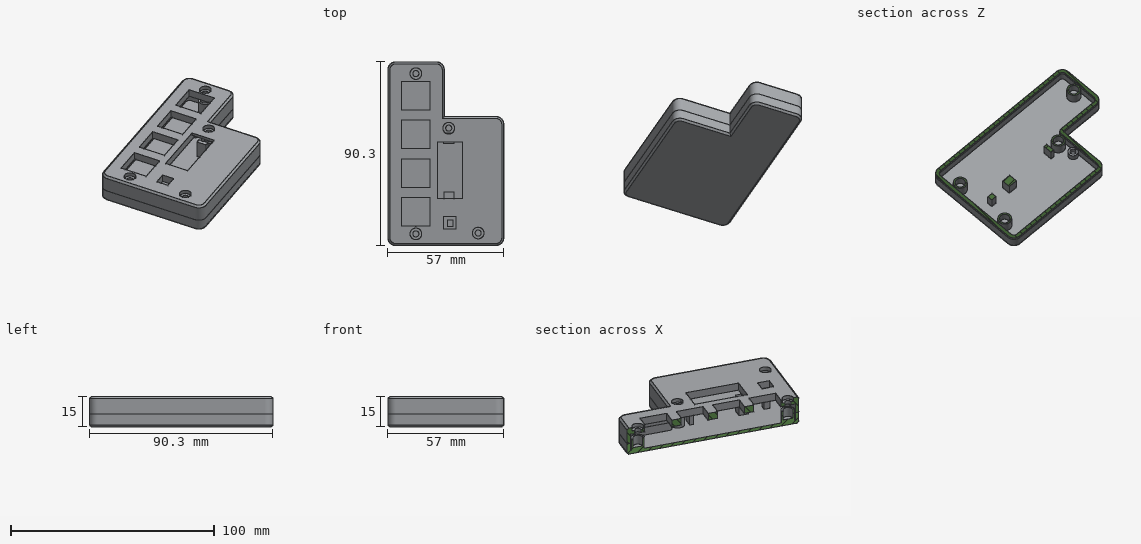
import cadquery as cq

case_width = 57.02
case_length = 90.3
case_height = 15.0
arm_width = 27.8
shoulder_y = 63.5
seam_z = 6.35
corner_radius = 4.0
edge_chamfer = 1.0
wall = 2.0
floor_thickness = 2.0
plate_thickness = 4.0
plate_bottom_z = case_height - plate_thickness

screw_points = [(13.8, 84.5), (29.95, 57.7), (13.8, 5.8), (44.4, 6.2)]
screw_hole_diameter = 3.0
counterbore_diameter = 5.7
counterbore_depth = 2.0
boss_diameter = 7.0
insert_hole_diameter = 4.85
boss_top_z = 8.5
insert_hole_depth = 5.0

short_boss_point = (38.6, 59.35)
short_boss_diameter = 5.1
short_boss_top_z = 5.2
short_boss_hole_diameter = 3.0
short_boss_hole_depth = 2.3

key_count = 4
key_size = 14.0
key_pitch = 19.05
key_x = 13.8
first_key_y = 16.6

display_width = 12.3
display_x = 30.5
display_y_min = 23.15
display_y_max = 50.8
display_lip = 1.5
seat_y_max = 52.65
header_width = 9.8
header_y_max = 55.2

button_size = 6.1
button_point = (30.5, 11.25)

display_post_top_z = plate_bottom_z
button_post_top_z = 10.4
support_posts = [
    (27.4, 32.5, 50.15, 52.2, display_post_top_z),
    (27.7, 32.5, 21.2, 26.25, display_post_top_z),
    (29.25, 32.1, 9.45, 12.5, button_post_top_z),
]


def box_between(x_min, x_max, y_min, y_max, z_min, z_max):
    """Box given by its limits along each axis."""
    size = (x_max - x_min, y_max - y_min, z_max - z_min)
    return cq.Workplane("XY").box(*size, centered=False).translate((x_min, y_min, z_min))


def cylinder(point, diameter, z_min, z_max):
    """Upright cylinder centred on an XY point."""
    return (
        cq.Workplane("XY", origin=(*point, z_min))
        .circle(diameter / 2)
        .extrude(z_max - z_min)
    )


def centred_opening(point, width, length):
    """Rectangular cutter through the whole lid plate."""
    x, y = point
    return box_between(
        x - width / 2, x + width / 2, y - length / 2, y + length / 2, seam_z, case_height
    )


def case_block():
    """Solid outer shape of the closed case; the shoulder corner stays sharp."""
    arm = box_between(0, arm_width, 0, case_length, 0, case_height).edges("|Z").fillet(corner_radius)
    body = box_between(0, case_width, 0, shoulder_y, 0, case_height).edges("|Z").fillet(corner_radius)
    return arm.union(body).faces("<Z or >Z").chamfer(edge_chamfer)


def cavity():
    """Inner space between the tray floor and the lid plate."""
    z_limits = (floor_thickness, plate_bottom_z)
    arm = box_between(wall, arm_width - wall, wall, case_length - wall, *z_limits)
    body = box_between(wall, case_width - wall, wall, shoulder_y - wall, *z_limits)
    return arm.union(body).edges("|Z").fillet(corner_radius - wall)


def make_shell(z_min, z_max):
    """Slice of the hollow case between two heights."""
    slab = box_between(0, case_width, 0, case_length, z_min, z_max)
    return case_block().cut(cavity()).intersect(slab)


def add_boss(body, point, diameter, top_z, hole_diameter, hole_depth):
    """Tubular boss standing on the tray floor."""
    body = body.union(cylinder(point, diameter, floor_thickness, top_z))
    return body.cut(cylinder(point, hole_diameter, top_z - hole_depth, top_z))


def make_tray():
    tray = make_shell(0, seam_z)
    tray = add_boss(
        tray, short_boss_point, short_boss_diameter, short_boss_top_z,
        short_boss_hole_diameter, short_boss_hole_depth,
    )
    for point in screw_points:
        tray = add_boss(
            tray, point, boss_diameter, boss_top_z, insert_hole_diameter, insert_hole_depth
        )
    for x_min, x_max, y_min, y_max, top_z in support_posts:
        tray = tray.union(box_between(x_min, x_max, y_min, y_max, floor_thickness, top_z))
    return tray


def display_cutter():
    """Display opening plus the seat and header recess under the lip."""
    x_min = display_x - display_width / 2
    x_max = display_x + display_width / 2
    lip_z = case_height - display_lip
    opening = box_between(x_min, x_max, display_y_min, display_y_max, plate_bottom_z, case_height)
    seat = box_between(x_min, x_max, display_y_min, seat_y_max, plate_bottom_z, lip_z)
    header = box_between(
        display_x - header_width / 2, display_x + header_width / 2,
        display_y_min, header_y_max, plate_bottom_z, lip_z,
    )
    return opening.union(seat).union(header)


def make_lid():
    lid = make_shell(seam_z, case_height)
    for index in range(key_count):
        lid = lid.cut(centred_opening((key_x, first_key_y + index * key_pitch), key_size, key_size))
    lid = lid.cut(display_cutter())
    lid = lid.cut(centred_opening(button_point, button_size, button_size))
    for point in screw_points:
        lid = lid.cut(cylinder(point, screw_hole_diameter, plate_bottom_z, case_height))
        lid = lid.cut(cylinder(point, counterbore_diameter, case_height - counterbore_depth, case_height))
    return lid


tray = make_tray()
lid = make_lid()
result = cq.Compound.makeCompound([tray.val(), lid.val()])